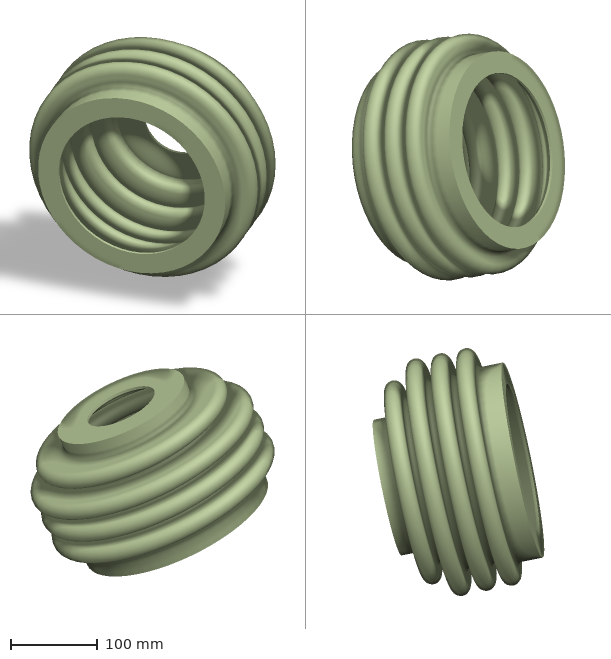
import cadquery as cq

length = 160.0
wall = 3.5

front_collar_length = 25.0
front_collar_radius = 115.0
front_bore_radius = 90.0
rear_collar_radius = 80.0
rear_bore_radius = 42.5

ridge_pitch = 30.0
ridge_width = 20.2
ridge_round = ridge_width / 2
root_round = (ridge_pitch - ridge_width) / 2
large_ridge_radius = 140.0
small_ridge_radius = 120.0
large_groove_radius = 110.0
small_groove_radius = 95.5

ridge_radii = [large_ridge_radius] * 3 + [small_ridge_radius]
groove_radii = [large_groove_radius] * 2 + [small_groove_radius]
first_ridge = front_collar_length + root_round + ridge_round
ridge_centers = [first_ridge + i * ridge_pitch for i in range(len(ridge_radii))]


def add_crest(profile, tip_radius, center, radius):
    """Half-round ridge crest, traversed in the +Y direction."""
    base = tip_radius - radius
    return (
        profile.lineTo(base, center - radius)
        .threePointArc((tip_radius, center), (base, center + radius))
    )


def add_root(profile, tip_radius, center, radius):
    """Half-round groove root, traversed in the +Y direction."""
    base = tip_radius + radius
    return (
        profile.lineTo(base, center - radius)
        .threePointArc((tip_radius, center), (base, center + radius))
    )


def bellows(inset):
    """Solid bellows with its whole surface moved inward by inset."""
    crest = ridge_round - inset
    root = root_round + inset
    front_collar = front_collar_radius - inset
    rear_collar = rear_collar_radius - inset
    first_ridge_start = ridge_centers[0] - crest
    last_ridge_end = ridge_centers[-1] + crest
    rear_collar_start = last_ridge_end + root

    profile = (
        cq.Workplane("XY")
        .moveTo(0, inset)
        .lineTo(front_collar, inset)
        .lineTo(front_collar, front_collar_length)
        .radiusArc((front_collar + root, first_ridge_start), root)
    )
    for i, (center, radius) in enumerate(zip(ridge_centers, ridge_radii)):
        profile = add_crest(profile, radius - inset, center, crest)
        if i < len(groove_radii):
            groove_center = center + ridge_pitch / 2
            profile = add_root(profile, groove_radii[i] - inset, groove_center, root)
    profile = (
        profile.lineTo(rear_collar + root, last_ridge_end)
        .radiusArc((rear_collar, rear_collar_start), root)
        .lineTo(rear_collar, length - inset)
        .lineTo(0, length - inset)
        .close()
    )
    return profile.revolve(360, (0, 0, 0), (0, 1, 0))


def end_opening(radius, start):
    """Round opening through the end wall that begins at station start."""
    return cq.Workplane("XZ", origin=(0, start, 0)).circle(radius).extrude(-wall)


result = (
    bellows(0)
    .cut(bellows(wall))
    .cut(end_opening(front_bore_radius, 0))
    .cut(end_opening(rear_bore_radius, length - wall))
)